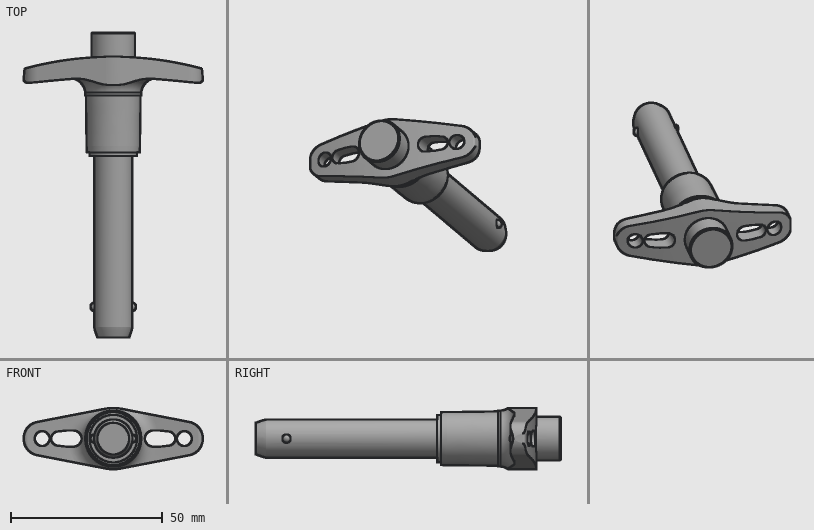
import cadquery as cq
import math

length = 100.6

shank_radius = 6.3
tip_radius = 5.2
tip_length = 3.4
tip_bulge = 0.1

ball_radius = 1.4
ball_reach = 7.5
ball_y = 10.2

collar_radius = 7.8
collar_start = 59.8
band_start = 61.1
band_radius = 8.8
grip_start = 63.2
grip_small_radius = 8.9
grip_large_radius = 9.1
grip_end = 79.9
neck_radius = 9.3
neck_end = 80.8

button_radius = 7.2
button_edge_chamfer = 0.4

handle_half_width = 29.6
handle_half_height = 10.2
handle_crown_y = 92.6
handle_tip_top_y = 88.7
handle_end_inset = 0.3
handle_end_overrun = 0.4
rim_radius = handle_half_width + 0.1
underside_middle_y = 86.9
underside_drop = 3.1
top_corner_radius = 0.8
bottom_corner_radius = 1.5
flare_radius = 4.9
end_radius = 5.6
middle_radius = 12.1

hole_x = 23.4
hole_radius = 2.4
slot_inner_end = 10.5
slot_outer_end = 20.4
slot_inner_radius = 2.6
slot_outer_radius = 2.3


def shank_and_sleeve():
    """Revolve everything from the tip up to the neck."""
    return (
        cq.Workplane("XY")
        .lineTo(tip_radius, 0)
        .threePointArc(
            ((tip_radius + shank_radius) / 2 + tip_bulge, tip_length / 2),
            (shank_radius, tip_length),
        )
        .lineTo(shank_radius, collar_start)
        .lineTo(collar_radius, collar_start)
        .lineTo(collar_radius, band_start)
        .lineTo(band_radius, band_start)
        .lineTo(grip_small_radius, grip_start)
        .lineTo(grip_large_radius, grip_end)
        .lineTo(neck_radius, grip_end)
        .lineTo(neck_radius, neck_end)
        .lineTo(0, neck_end)
        .close()
        .revolve(360, (0, 0, 0), (0, 1, 0))
    )


def cylinder_along_y(radius, start, end):
    return cq.Workplane("XZ", origin=(0, start, 0)).circle(radius).extrude(start - end)


def arched_top():
    """Extrude the arched top of the handle with rounded, slightly drafted wing tips."""
    top_x = handle_half_width - handle_end_inset
    bottom_x = handle_half_width + handle_end_overrun
    bar = (
        cq.Workplane("XY", origin=(0, 0, -handle_half_height))
        .moveTo(-top_x, handle_tip_top_y)
        .threePointArc((0, handle_crown_y), (top_x, handle_tip_top_y))
        .lineTo(bottom_x, neck_end)
        .lineTo(-bottom_x, neck_end)
        .close()
        .extrude(2 * handle_half_height)
    )
    for side in (-1, 1):
        tip_corner = cq.selectors.NearestToPointSelector((side * top_x, handle_tip_top_y, 0))
        bar = bar.edges(tip_corner).fillet(top_corner_radius)
    return bar


def turned_underside():
    """Revolve the flare, the shallow conical underside and its rounded rim."""
    slope_angle = math.atan(underside_drop / handle_half_width)
    slope_sin = math.sin(slope_angle)
    slope_cos = math.cos(slope_angle)

    flare_x = neck_radius + flare_radius
    cone_y = underside_middle_y - flare_x * math.tan(slope_angle)
    flare_y = cone_y - flare_radius / slope_cos
    flare_end = (flare_x + flare_radius * slope_sin, flare_y + flare_radius * slope_cos)
    flare_mid_angle = (math.pi + math.pi / 2 - slope_angle) / 2
    flare_middle = (
        flare_x + flare_radius * math.cos(flare_mid_angle),
        flare_y + flare_radius * math.sin(flare_mid_angle),
    )

    rim_x = rim_radius - bottom_corner_radius
    rim_y = underside_middle_y - rim_x * math.tan(slope_angle) + bottom_corner_radius / slope_cos
    rim_start = (rim_x - bottom_corner_radius * slope_sin, rim_y - bottom_corner_radius * slope_cos)
    rim_mid_angle = -(math.pi / 2 + slope_angle) / 2
    rim_middle = (
        rim_x + bottom_corner_radius * math.cos(rim_mid_angle),
        rim_y + bottom_corner_radius * math.sin(rim_mid_angle),
    )
    return (
        cq.Workplane("XY")
        .moveTo(0, neck_end)
        .lineTo(neck_radius, neck_end)
        .lineTo(neck_radius, flare_y)
        .threePointArc(flare_middle, flare_end)
        .lineTo(*rim_start)
        .threePointArc(rim_middle, (rim_radius, rim_y))
        .lineTo(rim_radius, length)
        .lineTo(0, length)
        .close()
        .revolve(360, (0, 0, 0), (0, 1, 0))
    )


def handle_outline():
    """Outline along the pin axis: common tangents around a middle arc and two end arcs."""
    end_x = handle_half_width - end_radius
    middle_z = handle_half_height - middle_radius
    spacing = math.hypot(end_x, middle_z)
    normal = math.atan2(-middle_z, end_x) + math.acos((middle_radius - end_radius) / spacing)
    normal_x = math.cos(normal)
    normal_z = math.sin(normal)
    middle_point = (middle_radius * normal_x, middle_z + middle_radius * normal_z)
    end_point = (end_x + end_radius * normal_x, end_radius * normal_z)
    return (
        cq.Workplane("XZ")
        .moveTo(-middle_point[0], middle_point[1])
        .threePointArc((0, handle_half_height), middle_point)
        .lineTo(*end_point)
        .threePointArc((handle_half_width, 0), (end_point[0], -end_point[1]))
        .lineTo(middle_point[0], -middle_point[1])
        .threePointArc((0, -handle_half_height), (-middle_point[0], -middle_point[1]))
        .lineTo(-end_point[0], -end_point[1])
        .threePointArc((-handle_half_width, 0), (-end_point[0], end_point[1]))
        .close()
        .extrude(-length)
    )


def wing_openings(side):
    """Round hole and slot through one wing; the outer half of the slot tapers."""
    inner_x = side * (slot_inner_end + slot_inner_radius)
    middle_x = side * (slot_inner_end + slot_outer_end) / 2
    outer_x = side * (slot_outer_end - slot_outer_radius)
    slot = (
        cq.Workplane("XZ")
        .moveTo(inner_x, slot_inner_radius)
        .lineTo(middle_x, slot_inner_radius)
        .lineTo(outer_x, slot_outer_radius)
        .threePointArc((side * slot_outer_end, 0), (outer_x, -slot_outer_radius))
        .lineTo(middle_x, -slot_inner_radius)
        .lineTo(inner_x, -slot_inner_radius)
        .threePointArc((side * slot_inner_end, 0), (inner_x, slot_inner_radius))
        .close()
        .extrude(-length)
    )
    hole = cq.Workplane("XZ").center(side * hole_x, 0).circle(hole_radius).extrude(-length)
    return slot.union(hole)


def handle():
    """Trim the turned underside to the arched top and the outline, then open the wings."""
    body = turned_underside().intersect(arched_top()).intersect(handle_outline())
    for side in (-1, 1):
        body = body.cut(wing_openings(side))
    return body


button = cylinder_along_y(button_radius, underside_middle_y, length)
button = button.faces(">Y").edges().chamfer(button_edge_chamfer)

result = shank_and_sleeve().union(handle()).union(button)

for side in (-1, 1):
    ball_x = side * (ball_reach - ball_radius)
    ball = cq.Workplane("YZ", origin=(ball_x, ball_y, 0)).sphere(ball_radius)
    result = result.union(ball)